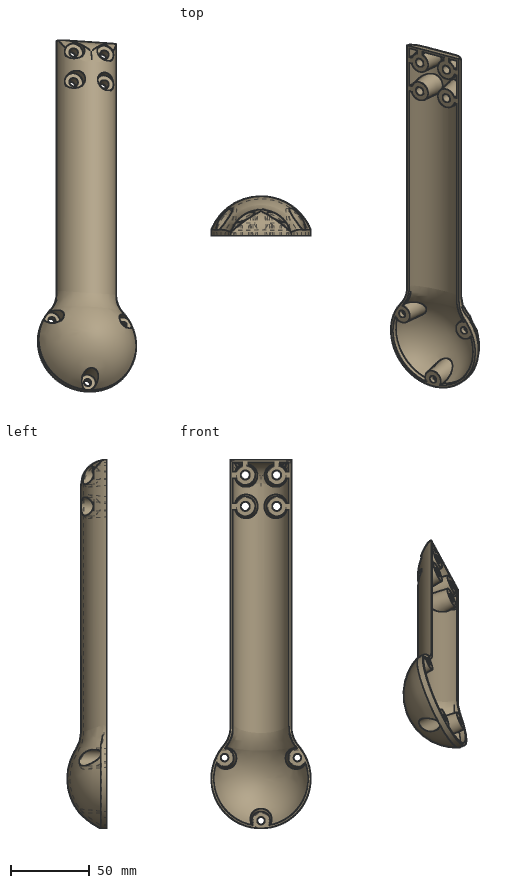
import cadquery as cq
import math

LENGTH = 235.0
BOWL_RADIUS = 31.7
BOWL_DEPTH = 25.4
BAND_HEIGHT = 4.0
TUBE_HALF_WIDTH = 19.5
TUBE_DEPTH = 16.7
NECK_RADIUS = 18.8
WALL = 1.6
TOP_Z = LENGTH - BOWL_RADIUS

CORNER_RADIUS = 47.0
CORNER_START_Y = 2.0
CORNER_WALL = 1.2

TUBE_HOLE_RADIUS = 2.8
TUBE_COUNTERBORE_RADIUS = 5.9
TUBE_SEAT_Y = 8.5
TUBE_BOSS_RADIUS = 6.3
TUBE_BOSS_PITCH = 20.0
TUBE_BOSS_END_GAP = 9.9
RIB_WIDTH = 4.0

BOWL_HOLE_RADIUS = 2.3
BOWL_COUNTERBORE_RADIUS = 5.2
BOWL_SEAT_Y = BAND_HEIGHT
BOWL_BOSS_RADIUS = 5.9
BOWL_BOSS_CIRCLE = 26.8
BOWL_BOSS_ANGLES = (30, 150, 270)

BOSS_DRAFT = 6.0

RIM_EXCESS = 2.3


def cap_radius(half_width, height):
    """Radius of the circle that spans a chord and rises by a height above it."""
    return (half_width**2 + height**2) / (2 * height)


DOME_RADIUS = cap_radius(BOWL_RADIUS, BOWL_DEPTH - BAND_HEIGHT)
DOME_CENTER_Y = BOWL_DEPTH - DOME_RADIUS
TUBE_RADIUS = cap_radius(TUBE_HALF_WIDTH, TUBE_DEPTH)
TUBE_AXIS_Y = TUBE_DEPTH - TUBE_RADIUS


def rod(x, z, radius, y_from, y_to, taper=0.0):
    """Round bar along Y; a negative taper widens it toward +Y."""
    plane = cq.Plane((x, y_from, z), (0, 0, 1), (0, -1, 0))
    return cq.Workplane(plane).circle(radius).extrude(y_from - y_to, taper=taper)


def block(x_from, x_to, z_from, z_to, y_from=0.0):
    """Box that reaches back to the full depth of the bowl."""
    box = cq.Workplane("XY").box(x_to - x_from, BOWL_DEPTH - y_from, z_to - z_from, centered=False)
    return box.translate((x_from, y_from, z_from))


def bowl(inset):
    """Domed round bowl with a straight band at its rim, turned about the Y axis."""
    band_radius = BOWL_RADIUS - inset
    dome_radius = DOME_RADIUS - inset
    half_angle = math.asin(band_radius / dome_radius) / 2
    shoulder_y = DOME_CENTER_Y + math.sqrt(dome_radius**2 - band_radius**2)
    arc_middle = (
        dome_radius * math.sin(half_angle),
        DOME_CENTER_Y + dome_radius * math.cos(half_angle),
    )
    profile = (
        cq.Workplane("XY")
        .moveTo(0, -RIM_EXCESS)
        .lineTo(band_radius, -RIM_EXCESS)
        .lineTo(band_radius, shoulder_y)
        .threePointArc(arc_middle, (0, DOME_CENTER_Y + dome_radius))
        .close()
    )
    return profile.revolve(360, (0, 0, 0), (0, 1, 0))


def tube(inset):
    """Arched bar from the middle of the bowl to the top end."""
    bar = cq.Workplane("XY", origin=(0, TUBE_AXIS_Y, 0)).circle(TUBE_RADIUS - inset).extrude(TOP_Z)
    return bar.intersect(block(-BOWL_RADIUS, BOWL_RADIUS, 0, TOP_Z, -RIM_EXCESS))


def end_envelope(inset):
    """Long block behind the rim plane whose top end is a quarter round as deep as the tube."""
    end_radius = TUBE_DEPTH - inset
    axis_z = TOP_Z - TUBE_DEPTH
    middle = end_radius * math.sqrt(0.5)
    outline = (
        cq.Workplane("YZ", origin=(-BOWL_RADIUS, 0, 0))
        .moveTo(0, axis_z + end_radius)
        .threePointArc((middle, axis_z + middle), (end_radius, axis_z))
        .lineTo(BOWL_DEPTH, axis_z)
        .lineTo(BOWL_DEPTH, -BOWL_RADIUS)
        .lineTo(0, -BOWL_RADIUS)
        .close()
    )
    return outline.extrude(2 * BOWL_RADIUS)


def corner_cutter(side, inset):
    """Waste outside the large cylinder that rounds one top corner.

    The section plane holds the diagonal between +Z and the chosen side. The arc runs from the
    corner just above the rim to the ridge of the tube where the quarter round starts.
    """
    start_u = TUBE_HALF_WIDTH * math.sqrt(0.5)
    finish_u = -TUBE_DEPTH * math.sqrt(0.5)
    run = start_u - finish_u
    rise = TUBE_DEPTH - CORNER_START_Y
    chord = math.hypot(run, rise)
    center_drop = math.sqrt(CORNER_RADIUS**2 - (chord / 2) ** 2)
    center_u = (start_u + finish_u) / 2 - center_drop * rise / chord
    center_y = (CORNER_START_Y + TUBE_DEPTH) / 2 - center_drop * run / chord

    section = cq.Plane((0, 0, TOP_Z), (side, 0, 1), (-1, 0, side))
    waste = (
        cq.Workplane(section)
        .moveTo(finish_u, 0)
        .lineTo(BOWL_RADIUS, 0)
        .lineTo(BOWL_RADIUS, BOWL_DEPTH)
        .lineTo(finish_u, BOWL_DEPTH)
        .close()
        .extrude(BOWL_RADIUS, both=True)
    )
    cylinder = (
        cq.Workplane(section)
        .center(center_u, center_y)
        .circle(CORNER_RADIUS - inset)
        .extrude(BOWL_RADIUS, both=True)
    )
    return waste.cut(cylinder)


def body(inset, corner_inset):
    """Solid bowl and tube with a filleted neck, moved inward from the outer skin by the inset."""
    joined = bowl(inset).union(tube(inset))
    neck_zone = cq.selectors.BoxSelector(
        (-BOWL_RADIUS, -RIM_EXCESS / 2, BOWL_RADIUS / 2),
        (BOWL_RADIUS, BOWL_DEPTH, BOWL_RADIUS),
    )
    shape = joined.edges(neck_zone).fillet(NECK_RADIUS + inset).intersect(end_envelope(inset))
    for side in (-1, 1):
        shape = shape.cut(corner_cutter(side, corner_inset))
    return shape


tube_spots = [
    (side * TUBE_BOSS_PITCH / 2, TOP_Z - TUBE_BOSS_END_GAP - row * TUBE_BOSS_PITCH)
    for side in (-1, 1)
    for row in (0, 1)
]
bowl_spots = [
    (
        BOWL_BOSS_CIRCLE * math.cos(math.radians(angle)),
        BOWL_BOSS_CIRCLE * math.sin(math.radians(angle)),
    )
    for angle in BOWL_BOSS_ANGLES
]


def tube_support(x, z):
    """Drafted boss with a rib to the side wall and, in the top row, one to the end wall."""
    half_rib = RIB_WIDTH / 2
    wall_x = math.copysign(TUBE_HALF_WIDTH, x)
    support = rod(x, z, TUBE_BOSS_RADIUS, 0, BOWL_DEPTH, -BOSS_DRAFT)
    support = support.union(block(min(x, wall_x), max(x, wall_x), z - half_rib, z + half_rib))
    if z + TUBE_BOSS_PITCH > TOP_Z:
        support = support.union(block(x - half_rib, x + half_rib, z, TOP_Z))
    return support


def screw_cutter(x, z, hole_radius, counterbore_radius, seat_y):
    """Through hole with a counterbore sunk from the back."""
    hole = rod(x, z, hole_radius, -RIM_EXCESS, BOWL_DEPTH)
    return hole.union(rod(x, z, counterbore_radius, seat_y, BOWL_DEPTH))


cavity = body(WALL, CORNER_WALL)
for x, z in tube_spots:
    cavity = cavity.cut(tube_support(x, z))
for x, z in bowl_spots:
    cavity = cavity.cut(rod(x, z, BOWL_BOSS_RADIUS, 0, BOWL_DEPTH, -BOSS_DRAFT))
result = body(0, 0).cut(cavity)

for x, z in tube_spots:
    result = result.cut(screw_cutter(x, z, TUBE_HOLE_RADIUS, TUBE_COUNTERBORE_RADIUS, TUBE_SEAT_Y))
for x, z in bowl_spots:
    result = result.cut(screw_cutter(x, z, BOWL_HOLE_RADIUS, BOWL_COUNTERBORE_RADIUS, BOWL_SEAT_Y))

result = cq.Workplane(result.solids().val())